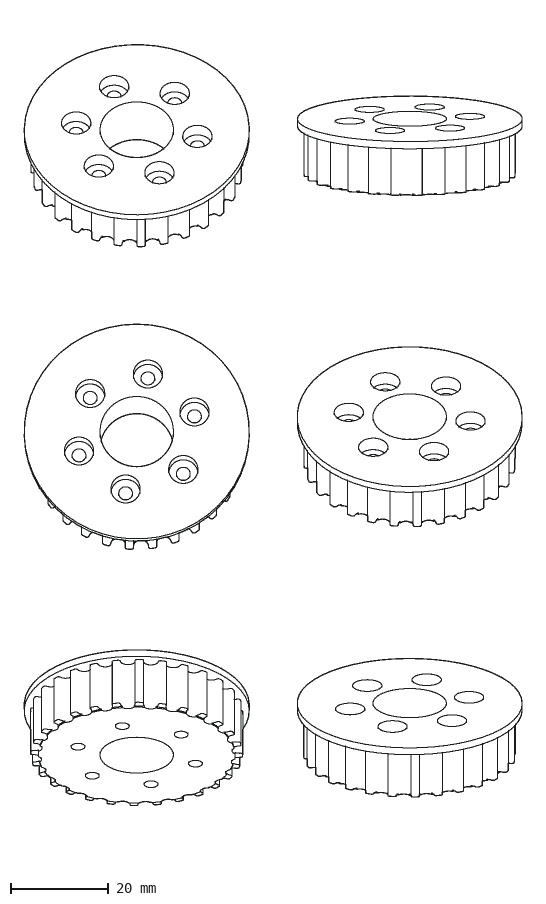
import cadquery as cq
import math


overall_height = 11.8
flange_thickness = 1.5
hub_step = 0.28

flange_diameter = 46.0
tooth_tip_radius = 21.65
hub_radius = 20.1
bore_diameter = 15.0

tooth_count = 28
groove_radius = 1.5
groove_center_radius = 21.05
tooth_corner_radius = 0.45

screw_count = 6
screw_circle_radius = 12.5
screw_hole_diameter = 2.8
counterbore_diameter = 6.0
counterbore_depth = 3.0

flange_bottom = overall_height - flange_thickness
tooth_pitch = 2 * math.pi / tooth_count


def polar(radius, angle):
    return (radius * math.cos(angle), radius * math.sin(angle))


corner_orbit = tooth_tip_radius - tooth_corner_radius
corner_reach = groove_radius + tooth_corner_radius
corner_x = (corner_orbit**2 + groove_center_radius**2 - corner_reach**2) / (2 * groove_center_radius)
corner_y = math.sqrt(corner_orbit**2 - corner_x**2)

tip_direction = math.atan2(corner_y, corner_x)
wall_direction = math.atan2(-corner_y, groove_center_radius - corner_x)
middle_direction = (tip_direction + wall_direction) / 2


def corner_point(groove_angle, direction, side):
    """Point on the corner arc before (side -1) or after (side 1) the groove at groove_angle."""
    x = corner_x + tooth_corner_radius * math.cos(direction)
    y = corner_y + tooth_corner_radius * math.sin(direction)
    return polar(math.hypot(x, y), groove_angle + side * math.atan2(y, x))


def toothed_rim():
    first_point = corner_point(0, tip_direction, -1)
    outline = cq.Workplane("XY").workplane(offset=hub_step).moveTo(*first_point)
    for index in range(tooth_count):
        angle = index * tooth_pitch
        groove_bottom = polar(groove_center_radius - groove_radius, angle)
        tooth_tip = polar(tooth_tip_radius, angle + tooth_pitch / 2)
        outline = (
            outline
            .threePointArc(corner_point(angle, middle_direction, -1), corner_point(angle, wall_direction, -1))
            .threePointArc(groove_bottom, corner_point(angle, wall_direction, 1))
            .threePointArc(corner_point(angle, middle_direction, 1), corner_point(angle, tip_direction, 1))
            .threePointArc(tooth_tip, corner_point(angle + tooth_pitch, tip_direction, -1))
        )
    return outline.close().extrude(flange_bottom - hub_step)


def hub_face(rim):
    """Thin step below the teeth, keeping the groove outline where it cuts into the hub circle."""
    step = rim.translate((0, 0, -hub_step))
    disc = cq.Workplane("XY").circle(hub_radius).extrude(hub_step)
    return step.intersect(disc)


def flange():
    return (
        cq.Workplane("XY").workplane(offset=flange_bottom)
        .circle(flange_diameter / 2).extrude(flange_thickness)
    )


rim = toothed_rim()
pulley = rim.union(hub_face(rim)).union(flange())
bored_pulley = pulley.faces(">Z").workplane(origin=(0, 0, 0)).hole(bore_diameter)
result = (
    bored_pulley.faces(">Z").workplane(origin=(0, 0, 0))
    .polarArray(screw_circle_radius, 0, 360, screw_count)
    .cboreHole(screw_hole_diameter, counterbore_diameter, counterbore_depth)
)